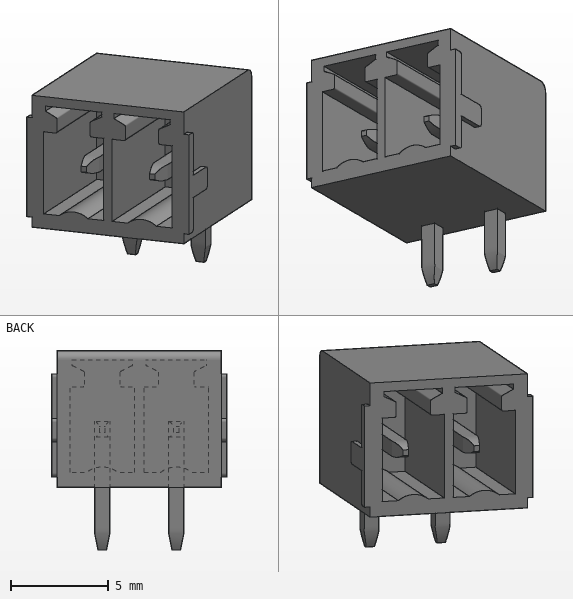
import cadquery as cq
import math

POLE_COUNT = 2
PITCH = 3.8
OVERALL_HEIGHT = 10.25

BODY_WIDTH = 8.44
BODY_DEPTH = 9.2
BODY_HEIGHT = 7.03
REAR_TOP_RADIUS = 0.5

RIB_TOTAL_WIDTH = 9.01
RIB_BAR_BOTTOM = 0.53
RIB_BAR_TOP = 5.84
RIB_BAR_DEPTH = 0.62
RIB_STEM_BOTTOM = 2.35
RIB_STEM_TOP = 3.54
RIB_STEM_DEPTH = 2.51
RIB_CORNER_RADIUS = 0.19

CAVITY_DEPTH = 7.18
CAVITY_WIDTH = 3.32
CAVITY_BOTTOM = 0.78
SHOULDER_HEIGHT = 5.16
NECK_WIDTH = 1.85
NECK_TOP = 5.96
HEAD_WIDTH = 3.12
HEAD_SIDE_BOTTOM = 6.27
HEAD_TOP = 6.54
NECK_EDGE_RADIUS = 0.09
SELECTION_MARGIN = 0.01
FLOOR_RIDGE_WIDTH = 1.6
FLOOR_RIDGE_HEIGHT = 0.28

PIN_WIDTH = 0.79
PIN_THICKNESS = 0.8
PIN_ROUNDING_LENGTH = 1.12
PIN_TIP_THICKNESS = 0.3
BLADE_HEIGHT = 2.98
BLADE_FRONT = 1.37
BLADE_TAPER_LENGTH = PIN_ROUNDING_LENGTH
BLADE_TIP_WIDTH = 0.3
TAIL_CENTER = 8.0
TAIL_LENGTH = OVERALL_HEIGHT - BODY_HEIGHT
TAIL_TAPER_LENGTH = 0.86
TAIL_TIP_WIDTH = 0.44

POLE_POSITIONS = [(i - (POLE_COUNT - 1) / 2) * PITCH for i in range(POLE_COUNT)]


def make_block():
    """Plain block with its upper rear edge rounded."""
    block = cq.Workplane("XY").box(
        BODY_WIDTH, BODY_DEPTH, BODY_HEIGHT, centered=(True, False, False)
    )
    return block.edges(">Y and >Z").fillet(REAR_TOP_RADIUS)


def make_rib_layer():
    """T-shaped slab across the full width; only its ends stand out of the block."""

    def slab(depth, bottom, top):
        bar = cq.Workplane("XY").box(
            RIB_TOTAL_WIDTH, depth, top - bottom, centered=(True, False, False)
        )
        return bar.edges("|X and >Y").fillet(RIB_CORNER_RADIUS).translate((0, 0, bottom))

    crossbar = slab(RIB_BAR_DEPTH, RIB_BAR_BOTTOM, RIB_BAR_TOP)
    stem = slab(RIB_STEM_DEPTH, RIB_STEM_BOTTOM, RIB_STEM_TOP)
    return crossbar.union(stem)


def make_cavity(x):
    """Space for one plug: ridged floor, wide chamber, narrow neck and dovetail head."""
    half_cavity = CAVITY_WIDTH / 2
    half_neck = NECK_WIDTH / 2
    half_head = HEAD_WIDTH / 2
    half_ridge = FLOOR_RIDGE_WIDTH / 2
    outline = (
        cq.Workplane("XZ")
        .moveTo(-half_cavity, CAVITY_BOTTOM)
        .lineTo(-half_ridge, CAVITY_BOTTOM)
        .threePointArc((0, CAVITY_BOTTOM + FLOOR_RIDGE_HEIGHT), (half_ridge, CAVITY_BOTTOM))
        .lineTo(half_cavity, CAVITY_BOTTOM)
        .lineTo(half_cavity, SHOULDER_HEIGHT)
        .lineTo(half_neck, SHOULDER_HEIGHT)
        .lineTo(half_neck, NECK_TOP)
        .lineTo(half_head, HEAD_SIDE_BOTTOM)
        .lineTo(half_head, HEAD_TOP)
        .lineTo(-half_head, HEAD_TOP)
        .lineTo(-half_head, HEAD_SIDE_BOTTOM)
        .lineTo(-half_neck, NECK_TOP)
        .lineTo(-half_neck, SHOULDER_HEIGHT)
        .lineTo(-half_cavity, SHOULDER_HEIGHT)
        .close()
    )
    cavity = outline.extrude(-CAVITY_DEPTH)
    neck_edges = cq.selectors.BoxSelector(
        (-half_neck - SELECTION_MARGIN, 0, SHOULDER_HEIGHT - SELECTION_MARGIN),
        (half_neck + SELECTION_MARGIN, CAVITY_DEPTH, NECK_TOP + SELECTION_MARGIN),
    )
    return cavity.edges("|Y").edges(neck_edges).fillet(NECK_EDGE_RADIUS).translate((x, 0, 0))


def make_pin_leg(length, taper_length, tip_width):
    """Leg from the origin down -Z: straight tapers across X, arcs tangent to the shank across Y."""
    half_width = PIN_WIDTH / 2
    half_tip_width = tip_width / 2
    taper_start = taper_length - length
    tapered = (
        cq.Workplane("XZ")
        .moveTo(-half_width, 0)
        .lineTo(-half_width, taper_start)
        .lineTo(-half_tip_width, -length)
        .lineTo(half_tip_width, -length)
        .lineTo(half_width, taper_start)
        .lineTo(half_width, 0)
        .close()
        .extrude(PIN_THICKNESS / 2, both=True)
    )

    half_thickness = PIN_THICKNESS / 2
    half_tip_thickness = PIN_TIP_THICKNESS / 2
    rounding_start = PIN_ROUNDING_LENGTH - length
    inset = half_thickness - half_tip_thickness
    radius = (inset**2 + PIN_ROUNDING_LENGTH**2) / (2 * inset)
    mid_drop = PIN_ROUNDING_LENGTH / 2
    mid_height = rounding_start - mid_drop
    half_mid = half_thickness - radius + math.sqrt(radius**2 - mid_drop**2)
    rounded = (
        cq.Workplane("YZ")
        .moveTo(-half_thickness, 0)
        .lineTo(-half_thickness, rounding_start)
        .threePointArc((-half_mid, mid_height), (-half_tip_thickness, -length))
        .lineTo(half_tip_thickness, -length)
        .threePointArc((half_mid, mid_height), (half_thickness, rounding_start))
        .lineTo(half_thickness, 0)
        .close()
        .extrude(half_width, both=True)
    )
    return tapered.intersect(rounded)


def make_pin(x):
    """L-shaped pin: a contact blade pointing to -Y and a solder tail pointing to -Z."""
    blade = make_pin_leg(
        TAIL_CENTER - BLADE_FRONT,
        BLADE_TAPER_LENGTH,
        BLADE_TIP_WIDTH,
    ).rotate((0, 0, 0), (1, 0, 0), -90)
    tail = make_pin_leg(
        BLADE_HEIGHT + TAIL_LENGTH,
        TAIL_TAPER_LENGTH,
        TAIL_TIP_WIDTH,
    )
    elbow = cq.Workplane("XY").box(PIN_WIDTH, PIN_THICKNESS, PIN_THICKNESS)
    pin = blade.union(elbow).union(tail).clean()
    return pin.translate((x, TAIL_CENTER, BLADE_HEIGHT))


def make_housing(pins):
    """Block with side ribs, hollowed by the cavities and by the seats of the pins."""
    housing = make_block().union(make_rib_layer())
    for x in POLE_POSITIONS:
        housing = housing.cut(make_cavity(x))
    for pin in pins:
        housing = housing.cut(pin)
    return housing


pins = [make_pin(x) for x in POLE_POSITIONS]
housing = make_housing(pins)

result = cq.Compound.makeCompound([housing.val(), *[pin.val() for pin in pins]])